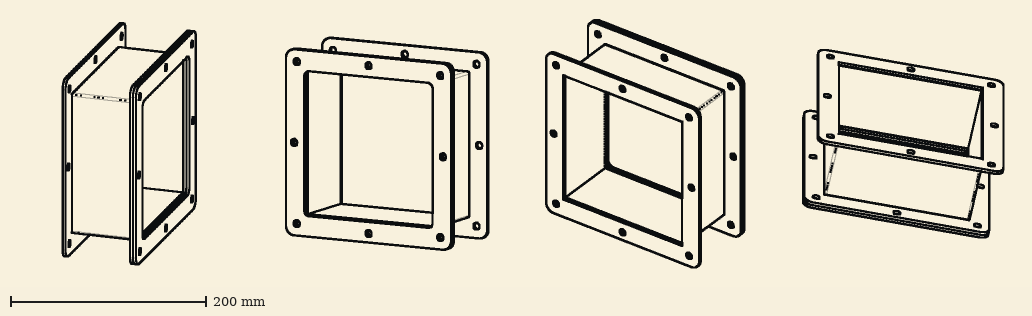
import cadquery as cq

frame_side = 193.7
overall_length = 79.5
plate_thickness = 3.3
frame_corner_radius = 9.5

duct_side = 152.5
duct_wall = 1.7
duct_corner_radius = 2.7
duct_bore_side = duct_side - 2 * duct_wall
duct_length = overall_length - 3 * plate_thickness

opening_side = 150.9
gasket_opening_radius = 6.0

bolt_hole_diameter = 7.2
corner_hole_offset = 84.3
side_hole_offset = 87.4

inlet_flange_x = 0.0
duct_x = inlet_flange_x + plate_thickness
outlet_flange_x = duct_x + duct_length
gasket_x = outlet_flange_x + plate_thickness


def square_bar(side, length, x_start):
    """Square bar running along +X from x_start, centred on the X axis."""
    return cq.Workplane("YZ", origin=(x_start, 0, 0)).rect(side, side).extrude(length)


def bolt_hole_points():
    """Hole centres in the YZ plane."""
    corner_points = [
        (y_sign * corner_hole_offset, z_sign * corner_hole_offset)
        for y_sign in (-1, 1)
        for z_sign in (-1, 1)
    ]
    side_points = []
    for sign in (-1, 1):
        side_points.append((sign * side_hole_offset, 0))
        side_points.append((0, sign * side_hole_offset))
    return corner_points + side_points


def drilled_plate(x_start):
    """Square plate with rounded corners and the bolt holes."""
    plate = square_bar(frame_side, plate_thickness, x_start).edges("|X").fillet(frame_corner_radius)
    holes = (
        cq.Workplane("YZ", origin=(x_start, 0, 0))
        .pushPoints(bolt_hole_points())
        .circle(bolt_hole_diameter / 2)
        .extrude(plate_thickness)
    )
    return plate.cut(holes)


def make_flange(x_start):
    """Drilled plate with a sharp-cornered square opening."""
    opening = square_bar(opening_side, plate_thickness, x_start)
    return drilled_plate(x_start).cut(opening)


def make_gasket():
    """Drilled plate whose square opening has rounded corners."""
    opening = square_bar(opening_side, plate_thickness, gasket_x)
    opening = opening.edges("|X").fillet(gasket_opening_radius)
    return drilled_plate(gasket_x).cut(opening)


def make_duct():
    """Square tube, rounded outside and sharp inside, butted between the flanges."""
    outside = square_bar(duct_side, duct_length, duct_x).edges("|X").fillet(duct_corner_radius)
    bore = square_bar(duct_bore_side, duct_length, duct_x)
    return outside.cut(bore)


flanges = [make_flange(x_start) for x_start in (inlet_flange_x, outlet_flange_x)]
duct = make_duct()
gasket = make_gasket()

result = cq.Compound.makeCompound([*[flange.val() for flange in flanges], duct.val(), gasket.val()])